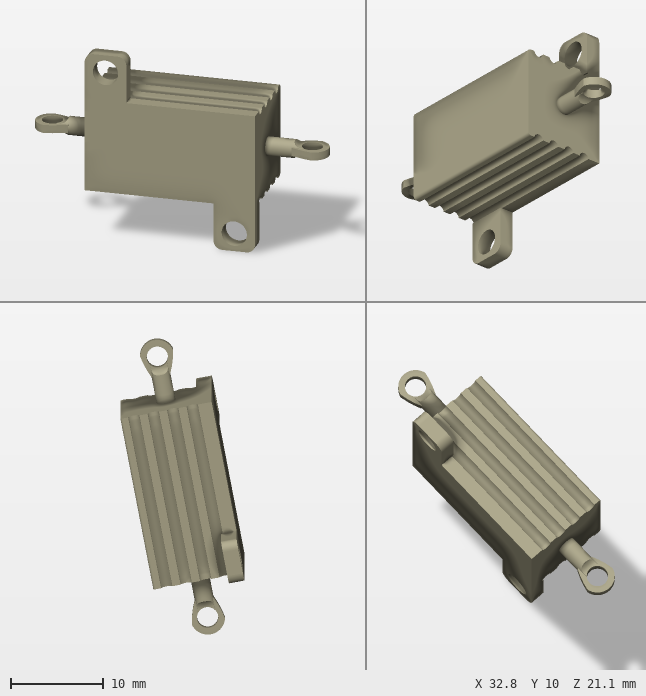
import cadquery as cq

body_length = 19.05
body_depth = 10.0
body_height = 10.55
back_edge_radius = 0.33

groove_radius = 0.62
groove_depth = 0.52
groove_count = 4
groove_pitch = 2.13
groove_edge_distance = 1.48

tab_width = 4.65
tab_thickness = 1.7
tab_tip_height = 21.1
tab_corner_radius = 1.0
tab_hole_diameter = 2.82
tab_hole_spacing_z = 17.05

overall_length = 32.8
lead_diameter = 2.05
eye_thickness = 0.92
eye_radius = 1.87
eye_hole_radius = 1.15
eye_corner_offset = 0.43
eye_side_radius = 9.85
eye_length = 3.9
shoulder_position = 3.77
scoop_end_position = 3.02
neck_half_thickness = 0.5

half_body_height = body_height / 2
lead_radius = lead_diameter / 2
front_y = -body_depth / 2
tab_height = (tab_tip_height - body_height) / 2
eye_center_x = overall_length / 2 - eye_radius


def finned_body():
    body = cq.Workplane("XY").box(body_length, body_depth, body_height)
    body = body.edges("|X and >Y").fillet(back_edge_radius)
    first_groove_y = body_depth / 2 - groove_edge_distance
    groove_axis_z = half_body_height - groove_depth + groove_radius
    groove_axes = [
        (first_groove_y - index * groove_pitch, side * groove_axis_z)
        for index in range(groove_count)
        for side in (1, -1)
    ]
    grooves = (
        cq.Workplane("YZ", origin=(-body_length / 2, 0, 0))
        .pushPoints(groove_axes)
        .circle(groove_radius)
        .extrude(body_length)
    )
    return body.cut(grooves)


def upper_tab():
    """Tab above the -X end of the body, flush with the mounting face."""
    center_x = (tab_width - body_length) / 2
    tab = (
        cq.Workplane("XY")
        .box(tab_width, tab_thickness, tab_height, centered=(True, False, False))
        .edges("|Y and >Z")
        .fillet(tab_corner_radius)
        .translate((center_x, front_y, half_body_height))
    )
    hole = (
        cq.Workplane("XZ", origin=(center_x, front_y, tab_hole_spacing_z / 2))
        .circle(tab_hole_diameter / 2)
        .extrude(-tab_thickness)
    )
    return tab.cut(hole)


def right_lead():
    """Round lead on the +X end, scooped down to a flat eye at its tip."""
    tip_x = overall_length / 2
    shoulder_x = tip_x - shoulder_position
    eye_root_x = tip_x - eye_length
    scoop_end_x = tip_x - scoop_end_position
    scoop_length = scoop_end_x - shoulder_x
    scoop_depth = lead_radius - neck_half_thickness
    scoop_radius = (scoop_length**2 + scoop_depth**2) / (2 * scoop_depth)
    start_x = body_length / 2

    lead = (
        cq.Workplane("YZ", origin=(start_x, 0, 0))
        .circle(lead_radius)
        .extrude(eye_center_x - start_x)
    )
    scoop = (
        cq.Workplane("XZ", origin=(0, lead_radius, 0))
        .moveTo(shoulder_x, lead_radius)
        .radiusArc((scoop_end_x, neck_half_thickness), -scoop_radius)
        .lineTo(tip_x, neck_half_thickness)
        .lineTo(tip_x, lead_radius)
        .close()
        .extrude(2 * lead_radius)
    )
    lead = lead.cut(scoop).cut(scoop.mirror("XY"))

    corner_x = eye_center_x + eye_corner_offset
    corner_y = (eye_radius**2 - eye_corner_offset**2) ** 0.5
    eye = (
        cq.Workplane("XY", origin=(0, 0, -eye_thickness / 2))
        .moveTo(eye_root_x, -lead_radius)
        .radiusArc((corner_x, -corner_y), -eye_side_radius)
        .threePointArc((tip_x, 0), (corner_x, corner_y))
        .radiusArc((eye_root_x, lead_radius), -eye_side_radius)
        .close()
        .extrude(eye_thickness)
    )
    eye_hole = (
        cq.Workplane("XY", origin=(eye_center_x, 0, -lead_radius))
        .circle(eye_hole_radius)
        .extrude(2 * lead_radius)
    )
    return lead.union(eye).cut(eye_hole)


tab = upper_tab()
lead = right_lead()
result = (
    finned_body()
    .union(tab)
    .union(tab.rotate((0, 0, 0), (0, 1, 0), 180))
    .union(lead)
    .union(lead.mirror("YZ"))
)